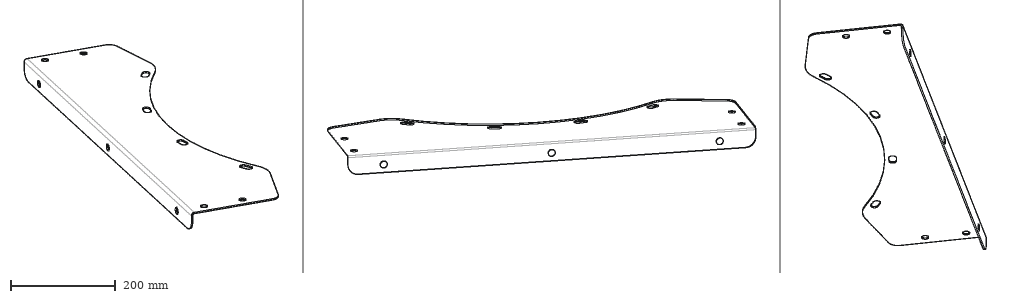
import cadquery as cq
import math

LENGTH = 800.0
DEPTH = 215.0
HEIGHT = 40.0
THICKNESS = 3.0
BEND_OUTER_RADIUS = 2 * THICKNESS
CORNER_RADIUS = 20.0

CUTOUT_RADIUS = 418.0
CUTOUT_CENTER_Y = 544.0
SHOULDER_RADIUS = 50.0
SHOULDER_SLOPE = math.radians(15)

SLOT_CIRCLE_RADIUS = 434.0
SLOT_PITCH_ANGLE = 22.5
SLOT_LENGTH = 26.0
SLOT_WIDTH = 14.0
SLOT_COUNT = 4

HOLE_DIAMETER = 14.0
PLATE_HOLE_X = LENGTH / 2 - 20.0
PLATE_HOLE_Y = (35.0, 115.0)
FLANGE_HOLE_PITCH = 330.0
FLANGE_HOLE_Z = 16.0


def bent_sheet():
    """L-shaped sheet with a rounded bend, running the full length."""
    sheet = cq.Workplane("XY").box(LENGTH, DEPTH, HEIGHT, centered=(True, False, False))
    sheet = sheet.edges("|X and <Y and >Z").fillet(BEND_OUTER_RADIUS)
    inner = (
        cq.Workplane("XY", origin=(0, THICKNESS, 0))
        .box(LENGTH, DEPTH, HEIGHT - THICKNESS, centered=(True, False, False))
        .edges("|X and <Y and >Z")
        .fillet(BEND_OUTER_RADIUS - THICKNESS)
    )
    return sheet.cut(inner)


def plate_outline():
    """Solid envelope of the plate, seen from above."""
    half = LENGTH / 2
    shoulder_y = DEPTH - SHOULDER_RADIUS
    center_distance = CUTOUT_RADIUS + SHOULDER_RADIUS
    shoulder_x = math.sqrt(center_distance**2 - (CUTOUT_CENTER_Y - shoulder_y) ** 2)

    slope_x = shoulder_x + SHOULDER_RADIUS * math.sin(SHOULDER_SLOPE)
    slope_y = shoulder_y + SHOULDER_RADIUS * math.cos(SHOULDER_SLOPE)
    side_y = slope_y - (half - slope_x) * math.tan(SHOULDER_SLOPE)
    cutout_x = shoulder_x * CUTOUT_RADIUS / center_distance
    cutout_y = CUTOUT_CENTER_Y - math.sqrt(CUTOUT_RADIUS**2 - cutout_x**2)

    outline = (
        cq.Workplane("XY")
        .moveTo(-half, 0)
        .lineTo(half, 0)
        .lineTo(half, side_y)
        .lineTo(slope_x, slope_y)
        .threePointArc((shoulder_x, DEPTH), (cutout_x, cutout_y))
        .threePointArc((0, CUTOUT_CENTER_Y - CUTOUT_RADIUS), (-cutout_x, cutout_y))
        .threePointArc((-shoulder_x, DEPTH), (-slope_x, slope_y))
        .lineTo(-half, side_y)
        .close()
        .extrude(HEIGHT)
    )
    outer_corners = cq.selectors.BoxSelector(
        (-LENGTH, side_y - THICKNESS, 0), (LENGTH, side_y + THICKNESS, HEIGHT)
    )
    return outline.edges("|Z").edges(outer_corners).fillet(CORNER_RADIUS)


def slot_cutters():
    """Slots tangent to their circle, symmetric about X = 0."""
    cutters = cq.Workplane("XY")
    for index in range(SLOT_COUNT):
        angle = (index - (SLOT_COUNT - 1) / 2) * SLOT_PITCH_ANGLE
        slot = (
            cq.Workplane("XY")
            .center(0, CUTOUT_CENTER_Y - SLOT_CIRCLE_RADIUS)
            .slot2D(SLOT_LENGTH, SLOT_WIDTH)
            .extrude(HEIGHT)
            .rotate((0, CUTOUT_CENTER_Y, 0), (0, CUTOUT_CENTER_Y, 1), angle)
        )
        cutters = cutters.add(slot)
    return cutters.combine()


def plate_hole_cutters():
    points = [(x, y) for x in (-PLATE_HOLE_X, PLATE_HOLE_X) for y in PLATE_HOLE_Y]
    return cq.Workplane("XY").pushPoints(points).circle(HOLE_DIAMETER / 2).extrude(HEIGHT)


def flange_hole_cutters():
    points = [(i * FLANGE_HOLE_PITCH, FLANGE_HOLE_Z) for i in (-1, 0, 1)]
    return cq.Workplane("XZ").pushPoints(points).circle(HOLE_DIAMETER / 2).extrude(-THICKNESS)


result = bent_sheet().intersect(plate_outline())
FLANGE_CORNERS = cq.selectors.BoxSelector(
    (-LENGTH, -THICKNESS, -THICKNESS), (LENGTH, 2 * THICKNESS, THICKNESS)
)
result = result.edges("|Y").edges(FLANGE_CORNERS).fillet(CORNER_RADIUS)
result = result.cut(slot_cutters()).cut(plate_hole_cutters()).cut(flange_hole_cutters())